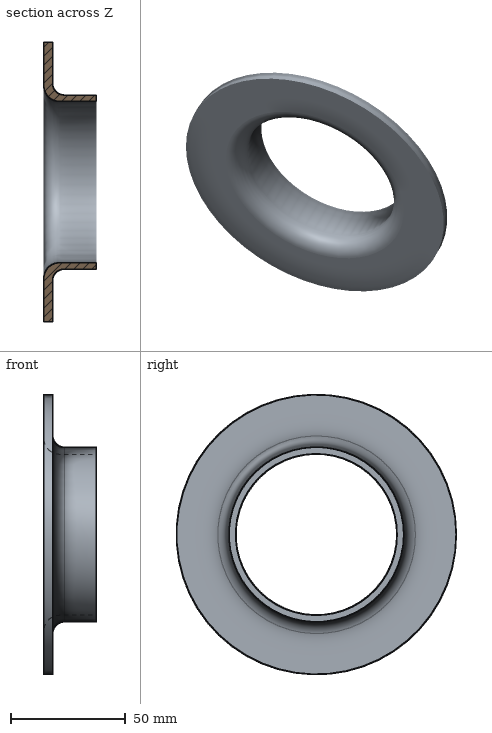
import cadquery as cq

length = 23.0
flange_diameter = 122.0
flange_thickness = 4.0
collar_diameter = 76.1
bore_diameter = 70.2
neck_radius = 5.0
mouth_radius = 7.0

flange_radius = flange_diameter / 2
collar_radius = collar_diameter / 2
bore_radius = bore_diameter / 2

half_section = (
    cq.Workplane("XY")
    .moveTo(0, bore_radius + mouth_radius)
    .lineTo(0, flange_radius)
    .lineTo(flange_thickness, flange_radius)
    .lineTo(flange_thickness, collar_radius + neck_radius)
    .radiusArc((flange_thickness + neck_radius, collar_radius), -neck_radius)
    .lineTo(length, collar_radius)
    .lineTo(length, bore_radius)
    .lineTo(mouth_radius, bore_radius)
    .radiusArc((0, bore_radius + mouth_radius), mouth_radius)
    .close()
)

result = half_section.revolve(360, (0, 0, 0), (1, 0, 0))